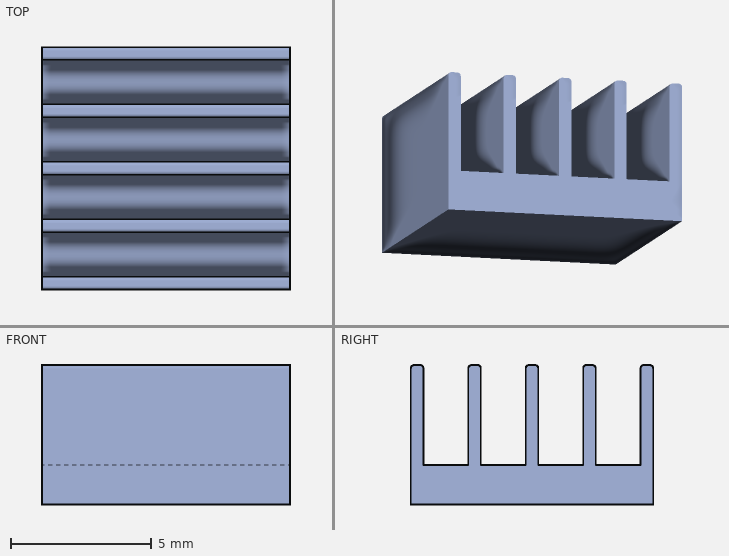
import cadquery as cq

LENGTH_X = 8.84
WIDTH_Y = 8.64
HEIGHT_Z = 4.98

BASE_THICKNESS = 1.42
FIN_COUNT = 5
FIN_THICKNESS = 0.457
FIN_TIP_RADIUS = 0.127

FIN_HEIGHT = HEIGHT_Z - BASE_THICKNESS
FIN_PITCH = (WIDTH_Y - FIN_THICKNESS) / (FIN_COUNT - 1)


def base_plate():
    """Flat plate resting on Z = 0, centred in X and Y."""
    return cq.Workplane("XY").box(LENGTH_X, WIDTH_Y, BASE_THICKNESS, centered=(True, True, False))


def fin(center_y):
    """Upright fin along X, standing on the base, with both long tip edges rounded."""
    return (
        cq.Workplane("XY")
        .box(LENGTH_X, FIN_THICKNESS, FIN_HEIGHT, centered=(True, True, False))
        .faces(">Z")
        .edges("|X")
        .fillet(FIN_TIP_RADIUS)
        .translate((0, center_y, BASE_THICKNESS))
    )


result = base_plate()
for index in range(FIN_COUNT):
    fin_center_y = (index - (FIN_COUNT - 1) / 2) * FIN_PITCH
    result = result.union(fin(fin_center_y))
result = result.clean()